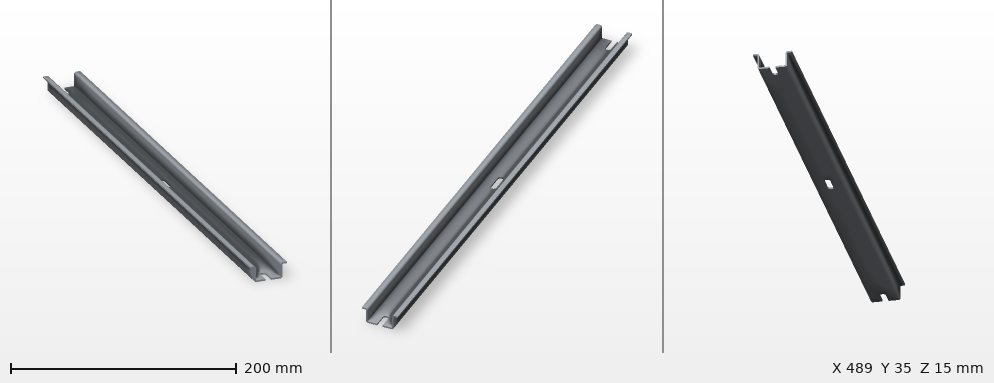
import cadquery as cq

length = 489.0
width = 35.0
height = 15.0

thickness = 1.5
channel_width = 27.0
inner_radius = 0.5
outer_radius = inner_radius + thickness

slot_width = 5.5
center_slot_length = 19.5
end_slot_depth = 14.5


def make_rail():
    """Extrude the top-hat section along X, centred on the origin in X and Y."""
    half_width = width / 2
    wall_outside = channel_width / 2
    wall_inside = wall_outside - thickness
    flange_underside = height - thickness
    half_outline = [
        (0, 0),
        (wall_outside, 0),
        (wall_outside, flange_underside),
        (half_width, flange_underside),
        (half_width, height),
        (wall_inside, height),
        (wall_inside, thickness),
        (0, thickness),
    ]
    half = cq.Workplane("YZ").polyline(half_outline).close().extrude(length / 2, both=True)

    def round_edge(body, y, z, radius):
        nearest = cq.selectors.NearestToPointSelector((0, y, z))
        return body.edges("|X").edges(nearest).fillet(radius)

    half = round_edge(half, wall_outside, 0, outer_radius)
    half = round_edge(half, wall_inside, thickness, inner_radius)
    half = round_edge(half, wall_outside, flange_underside, inner_radius)
    half = round_edge(half, wall_inside, height, outer_radius)
    return half.union(half.mirror("XZ")).clean()


def slot_cutter(x, slot_length):
    """Round-ended cutter through the floor, centred at x on the rail axis."""
    return cq.Workplane("XY").center(x, 0).slot2D(slot_length, slot_width).extrude(2 * thickness)


result = make_rail().cut(slot_cutter(0, center_slot_length))

for end_x in (-length / 2, length / 2):
    result = result.cut(slot_cutter(end_x, 2 * end_slot_depth))